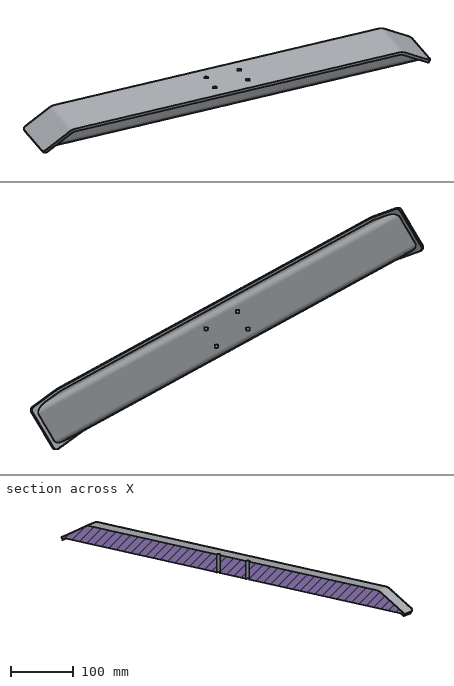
import cadquery as cq
import math

length = 680.0
width = 80.0
height = 34.0

plate_thickness = 5.1
bend_angle = math.radians(30)
bend_radius = 18.0
tip_corner_radius = 6.0

side_inset = 5.0
body_depth = 30.5
edge_radius = 10.0

hole_diameter = 6.0
hole_spacing_x = 33.0
hole_spacing_y = 58.0

bend_drop = bend_radius * (1 - math.cos(bend_angle))
bend_run = bend_radius * math.sin(bend_angle)
tip_drop = height - plate_thickness * math.cos(bend_angle)
flange_run = (tip_drop - bend_drop) / math.tan(bend_angle)
half_length = length / 2
bend_end = half_length - flange_run
bend_start = bend_end - bend_run


def bend_point(depth, angle):
    """Point in the bend, at a depth below the outer surface and an angle from vertical."""
    radius = bend_radius - depth
    return (
        bend_start + radius * math.sin(angle),
        radius * math.cos(angle) - bend_radius,
    )


def tip_point(depth):
    """Point on the flange end, at a depth below the outer surface."""
    return (
        half_length - depth * math.sin(bend_angle),
        -tip_drop - depth * math.cos(bend_angle),
    )


def mirrored(point):
    return (-point[0], point[1])


def trace_surface(profile, depth):
    """Draw the bent plate surface at a depth, from the -Y tip to the +Y tip."""
    start = bend_point(depth, 0)
    middle = bend_point(depth, bend_angle / 2)
    end = bend_point(depth, bend_angle)
    return (
        profile.moveTo(*mirrored(tip_point(depth)))
        .lineTo(*mirrored(end))
        .threePointArc(mirrored(middle), mirrored(start))
        .lineTo(*start)
        .threePointArc(middle, end)
        .lineTo(*tip_point(depth))
    )


def make_plate():
    upper = trace_surface(cq.Workplane("YZ"), 0)
    lower_end = bend_point(plate_thickness, bend_angle)
    lower_start = bend_point(plate_thickness, 0)
    lower_middle = bend_point(plate_thickness, bend_angle / 2)
    profile = (
        upper.lineTo(*tip_point(plate_thickness))
        .lineTo(*lower_end)
        .threePointArc(lower_middle, lower_start)
        .lineTo(*mirrored(lower_start))
        .threePointArc(mirrored(lower_middle), mirrored(lower_end))
        .lineTo(*mirrored(tip_point(plate_thickness)))
        .close()
    )
    plate = profile.extrude(width / 2, both=True)
    tip_edges = cq.selectors.BoxSelector(
        (-width, half_length - plate_thickness, -2 * height),
        (width, half_length + plate_thickness, 0),
    ) + cq.selectors.BoxSelector(
        (-width, -half_length - plate_thickness, -2 * height),
        (width, plate_thickness - half_length, 0),
    )
    across_thickness = cq.selectors.ParallelDirSelector(
        cq.Vector(0, math.sin(bend_angle), math.cos(bend_angle))
    ) + cq.selectors.ParallelDirSelector(
        cq.Vector(0, -math.sin(bend_angle), math.cos(bend_angle))
    )
    return plate.edges(tip_edges).edges(across_thickness).fillet(tip_corner_radius)


def make_body():
    """Bar with rounded lower edges, trimmed to the plate's underside."""
    bar = (
        cq.Workplane("XY")
        .workplane(offset=-body_depth)
        .rect(width - 2 * side_inset, length)
        .extrude(body_depth)
        .edges("|Y and <Z")
        .fillet(edge_radius)
    )
    space_below_plate = (
        trace_surface(cq.Workplane("YZ"), plate_thickness)
        .close()
        .extrude(width / 2, both=True)
    )
    return bar.intersect(space_below_plate)


def make_holes():
    return (
        cq.Workplane("XY")
        .rect(hole_spacing_x, hole_spacing_y, forConstruction=True)
        .vertices()
        .circle(hole_diameter / 2)
        .extrude(-height)
    )


result = make_plate().union(make_body()).cut(make_holes())